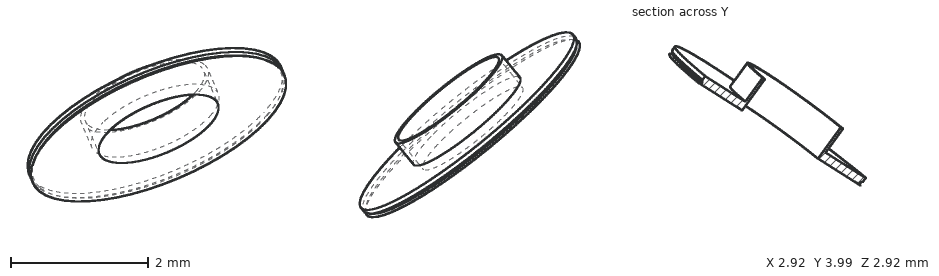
import cadquery as cq

flange_radius = 1.995
flange_thickness = 0.14
rim_land = flange_thickness / 2
groove_width = flange_thickness - rim_land
groove_depth = groove_width / 2

collar_radius = 1.0
collar_wall = 0.065
collar_height = 0.425
bore_radius = collar_radius - collar_wall
collar_top = flange_thickness + collar_height

tilt_angle = -45.0

half_section = (
    cq.Workplane("XZ")
    .moveTo(bore_radius, 0)
    .lineTo(flange_radius, 0)
    .lineTo(flange_radius - groove_depth, groove_width / 2)
    .lineTo(flange_radius, groove_width)
    .lineTo(flange_radius, flange_thickness)
    .lineTo(collar_radius, flange_thickness)
    .lineTo(collar_radius, collar_top)
    .lineTo(bore_radius, collar_top)
    .close()
)

flanged_ring = half_section.revolve(360, (0, 0, 0), (0, 1, 0))
result = flanged_ring.rotate((0, 0, 0), (0, 1, 0), tilt_angle)